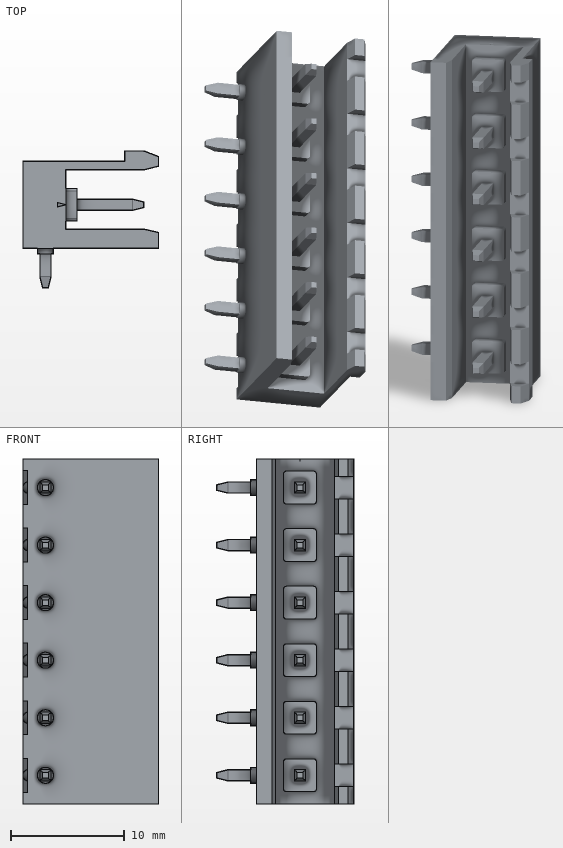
import cadquery as cq

positions = 6
pitch = 5.08
height = positions * pitch

depth = 12.0
body_width = 7.7
block_depth = 3.8
front_wall = 1.7
latch_inner_y = 6.92
latch_outer_y = 8.6
latch_start_x = 9.0
lead_in_x = 10.7
front_wall_tip_y = 1.4
latch_tip_inner_y = 7.25
latch_tip_outer_y = 8.1

notch_depth = 1.3
notch_height = 2.0

recess_depth = 0.4
recess_width = 6.8
recess_height = 3.0
dot_y = 6.0
dot_radius = 0.5
dot_height = recess_depth

mark_length = 0.75
mark_width = 0.4
mark_depth = 0.2

pin_size = 1.0
pin_tip_size = 0.5
pin_taper = 1.0
contact_y = 3.85
contact_end_x = 10.7
contact_collar_size = 2.9
contact_collar_length = 1.0
contact_collar_fillet = 0.25
solder_x = 2.0
solder_length = 3.5
solder_collar_radius = 0.71
solder_collar_length = 0.5


def make_housing():
    outline = [
        (0, 0),
        (depth, 0),
        (depth, front_wall_tip_y),
        (lead_in_x, front_wall),
        (block_depth, front_wall),
        (block_depth, latch_inner_y),
        (lead_in_x, latch_inner_y),
        (depth, latch_tip_inner_y),
        (depth, latch_tip_outer_y),
        (lead_in_x, latch_outer_y),
        (latch_start_x, latch_outer_y),
        (latch_start_x, body_width),
        (0, body_width),
    ]
    return cq.Workplane("XY").polyline(outline).close().extrude(height)


def make_arrow_mark():
    tail_x = block_depth - mark_length
    corners = [
        (tail_x, contact_y - mark_width / 2),
        (block_depth, contact_y),
        (tail_x, contact_y + mark_width / 2),
    ]
    return cq.Workplane("XY", origin=(0, 0, height)).polyline(corners).close().extrude(-mark_depth)


def make_recess(z):
    corner = (0, 0, z - recess_height / 2)
    return cq.Workplane("XY", origin=corner).box(recess_depth, recess_width, recess_height, centered=False)


def make_notch(z):
    corner = (depth - notch_depth, latch_inner_y, z - notch_height / 2)
    notch_width = latch_outer_y - latch_inner_y
    return cq.Workplane("XY", origin=corner).box(notch_depth, notch_width, notch_height, centered=False)


def make_dot(z):
    """Spherical cap standing on the recess floor, its pole level with the back face."""
    sphere_radius = (dot_radius**2 + dot_height**2) / (2 * dot_height)
    sphere = cq.Workplane("XY", origin=(sphere_radius, dot_y, z)).sphere(sphere_radius)
    keep = cq.Workplane("YZ", origin=(0, dot_y, z)).circle(sphere_radius).extrude(recess_depth)
    return sphere.intersect(keep)


def make_pin(base_plane, length):
    """Square pin with a tapered tip, growing along the normal of its base plane."""
    shank_length = length - pin_taper
    shank = cq.Workplane(base_plane).rect(pin_size, pin_size).extrude(shank_length)
    tip = (
        cq.Workplane(base_plane)
        .workplane(offset=shank_length)
        .rect(pin_size, pin_size)
        .workplane(offset=pin_taper)
        .rect(pin_tip_size, pin_tip_size)
        .loft()
    )
    return shank.union(tip)


def make_contact(z):
    base = cq.Plane(origin=(block_depth, contact_y, z), xDir=(0, 1, 0), normal=(1, 0, 0))
    collar = (
        cq.Workplane(base)
        .rect(contact_collar_size, contact_collar_size)
        .extrude(contact_collar_length)
        .edges("|X")
        .fillet(contact_collar_fillet)
    )
    return collar.union(make_pin(base, contact_end_x - block_depth))


def make_solder_pin(z):
    base = cq.Plane(origin=(solder_x, 0, z), xDir=(1, 0, 0), normal=(0, -1, 0))
    collar = cq.Workplane(base).circle(solder_collar_radius).extrude(solder_collar_length)
    return collar.union(make_pin(base, solder_length))


result = make_housing().cut(make_arrow_mark())
for index in range(positions):
    contact_z = (index + 0.5) * pitch
    result = result.cut(make_recess(contact_z)).cut(make_notch(contact_z))
    result = result.union(make_dot(contact_z))
    result = result.union(make_contact(contact_z)).union(make_solder_pin(contact_z))